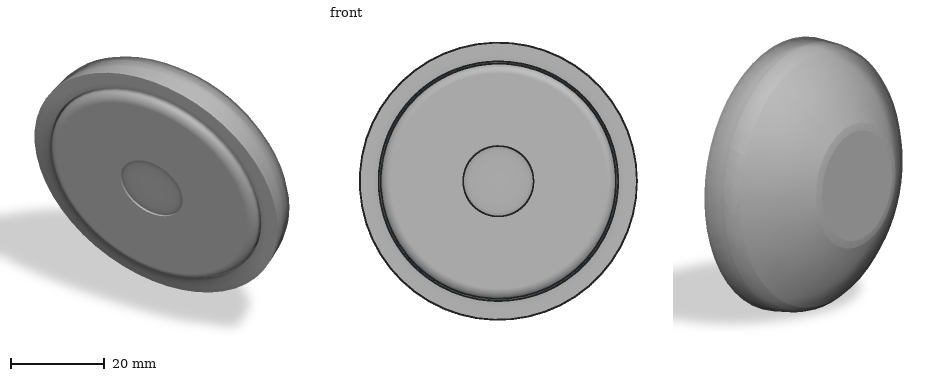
import cadquery as cq
import math


rim_radius = 29.5
rim_band = 0.5
back_y = 18.0
back_radius = 12.75
dome_radius = 51.0
shoulder_y = 6.8
side_draft = 5.0
shoulder_fillet = 5.0
back_fillet = 4.0
shoulder_radius = rim_radius - (shoulder_y - rim_band) * math.tan(math.radians(side_draft))

pad_radius = 25.0
pad_protrusion = 2.0
pad_fillet = pad_protrusion
label_radius = 7.5
label_depth = 0.5

mouth_gap = 0.5
mouth_radius = pad_radius + mouth_gap
mouth_depth = 4.0
seat_height = 0.33
bore_y = mouth_depth + seat_height
bore_length = 0.6
socket_depth = bore_y + bore_length

rib_count = 8
rib_width = 4.0


def revolve_about_y(profile):
    return profile.close().revolve(360, (0, 0, 0), (0, 1, 0))


def y_cylinder(radius, start_y, end_y):
    return cq.Workplane("XZ", origin=(0, start_y, 0)).circle(radius).extrude(start_y - end_y)


def make_dome():
    profile = (
        cq.Workplane("XY")
        .lineTo(rim_radius, 0)
        .lineTo(rim_radius, rim_band)
        .lineTo(shoulder_radius, shoulder_y)
        .radiusArc((back_radius, back_y), -dome_radius)
        .lineTo(0, back_y)
    )
    dome = revolve_about_y(profile)
    back_edge = dome.faces(">Y").edges()
    dome = back_edge.fillet(back_fillet)
    on_shoulder = cq.selectors.BoxSelector(
        (-rim_radius, shoulder_y - rim_band, -rim_radius),
        (rim_radius, shoulder_y + rim_band, rim_radius),
        boundingbox=True,
    )
    return dome.edges(on_shoulder).fillet(shoulder_fillet)


def make_socket():
    profile = (
        cq.Workplane("XY")
        .lineTo(mouth_radius, 0)
        .lineTo(mouth_radius, mouth_depth)
        .lineTo(pad_radius, bore_y)
        .lineTo(pad_radius, socket_depth)
        .lineTo(0, socket_depth)
    )
    return revolve_about_y(profile)


def make_ribs():
    seat_ring = y_cylinder(mouth_radius, mouth_depth, bore_y).cut(y_cylinder(pad_radius, mouth_depth, bore_y))
    bars = cq.Workplane("XY")
    for index in range(rib_count // 2):
        bar = cq.Workplane("XY").box(2 * rim_radius, 2 * bore_y, rib_width)
        bars = bars.union(bar.rotate((0, 0, 0), (0, 1, 0), index * 360 / rib_count))
    return seat_ring.intersect(bars)


def make_cap():
    return make_dome().cut(make_socket().cut(make_ribs()))


def make_pad():
    pad = y_cylinder(pad_radius, -pad_protrusion, socket_depth)
    pad = pad.faces("<Y").edges().fillet(pad_fillet)
    label_recess = y_cylinder(label_radius, -pad_protrusion, label_depth - pad_protrusion)
    return pad.cut(label_recess)


cap = make_cap()
pad = make_pad()
result = cq.Compound.makeCompound([cap.val(), pad.val()])